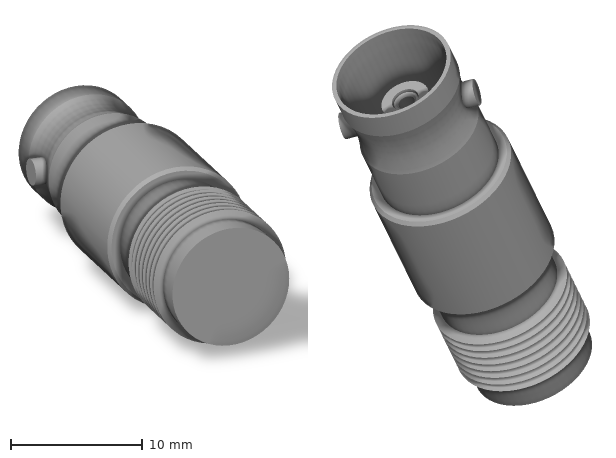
import cadquery as cq
import math

total_length = 32.5
barrel_radius = 4.8
bore_radius = 4.45

sleeve_start = 10.98
sleeve_end = 21.4
sleeve_radius = 5.735
sleeve_chamfer = 0.25

waist_center = 4.22
waist_half_width = 2.15
waist_radius = 4.48
stud_radius = 1.05
stud_reach = 5.43

spigot_radius = 4.78
thread_start = 24.5
thread_crest_radius = 5.43
thread_pitch = 0.755
thread_count = 8

bore_depth = sleeve_start
insulator_front = 3.15
insulator_radius = 1.92
insulator_hole_radius = 1.07
contact_radius = 0.97
contact_recess = 0.2
socket_radius = 0.65
socket_depth = 1.95
socket_chamfer = 0.15
drill_tip_angle = 118.0


def revolve_about_x(profile):
    """Turn a closed profile drawn in the XY plane about the X axis."""
    return profile.close().revolve(360, (0, 0, 0), (1, 0, 0))


def make_shell_blank():
    """Solid turned outline: barrel with waist, chamfered sleeve, spigot with thread ridges."""
    outline = (
        cq.Workplane("XY")
        .lineTo(0, barrel_radius)
        .lineTo(waist_center - waist_half_width, barrel_radius)
        .threePointArc((waist_center, waist_radius), (waist_center + waist_half_width, barrel_radius))
        .lineTo(sleeve_start, barrel_radius)
        .lineTo(sleeve_start, sleeve_radius - sleeve_chamfer)
        .lineTo(sleeve_start + sleeve_chamfer, sleeve_radius)
        .lineTo(sleeve_end - sleeve_chamfer, sleeve_radius)
        .lineTo(sleeve_end, sleeve_radius - sleeve_chamfer)
        .lineTo(sleeve_end, spigot_radius)
        .lineTo(thread_start, spigot_radius)
    )
    for ridge in range(thread_count):
        ridge_start = thread_start + ridge * thread_pitch
        outline = outline.lineTo(ridge_start + thread_pitch / 2, thread_crest_radius)
        outline = outline.lineTo(ridge_start + thread_pitch, spigot_radius)
    outline = outline.lineTo(total_length, spigot_radius).lineTo(total_length, 0)
    return revolve_about_x(outline)


def make_studs():
    """One bar across the waist whose two ends stand out as the bayonet studs."""
    return (
        cq.Workplane("XZ")
        .center(waist_center, 0)
        .circle(stud_radius)
        .extrude(stud_reach, both=True)
    )


def make_housing():
    """Outer shell with bayonet studs and an open mouth."""
    mouth = cq.Workplane("YZ").circle(bore_radius).extrude(bore_depth)
    return make_shell_blank().union(make_studs()).cut(mouth)


def make_insulator():
    """Round tube standing on the floor of the mouth."""
    return (
        cq.Workplane("YZ", origin=(insulator_front, 0, 0))
        .circle(insulator_radius)
        .circle(insulator_hole_radius)
        .extrude(bore_depth - insulator_front)
    )


def make_contact():
    """Socket contact, loose in the insulator and standing on the mouth floor, with a chamfered drilled hole."""
    front = insulator_front + contact_recess
    drill_tip_length = socket_radius / math.tan(math.radians(drill_tip_angle / 2))
    outline = (
        cq.Workplane("XY")
        .moveTo(front, contact_radius)
        .lineTo(front, socket_radius + socket_chamfer)
        .lineTo(front + socket_chamfer, socket_radius)
        .lineTo(front + socket_depth, socket_radius)
        .lineTo(front + socket_depth + drill_tip_length, 0)
        .lineTo(bore_depth, 0)
        .lineTo(bore_depth, contact_radius)
    )
    return revolve_about_x(outline)


housing = make_housing()
insulator = make_insulator()
contact = make_contact()

result = cq.Compound.makeCompound([housing.val(), insulator.val(), contact.val()])